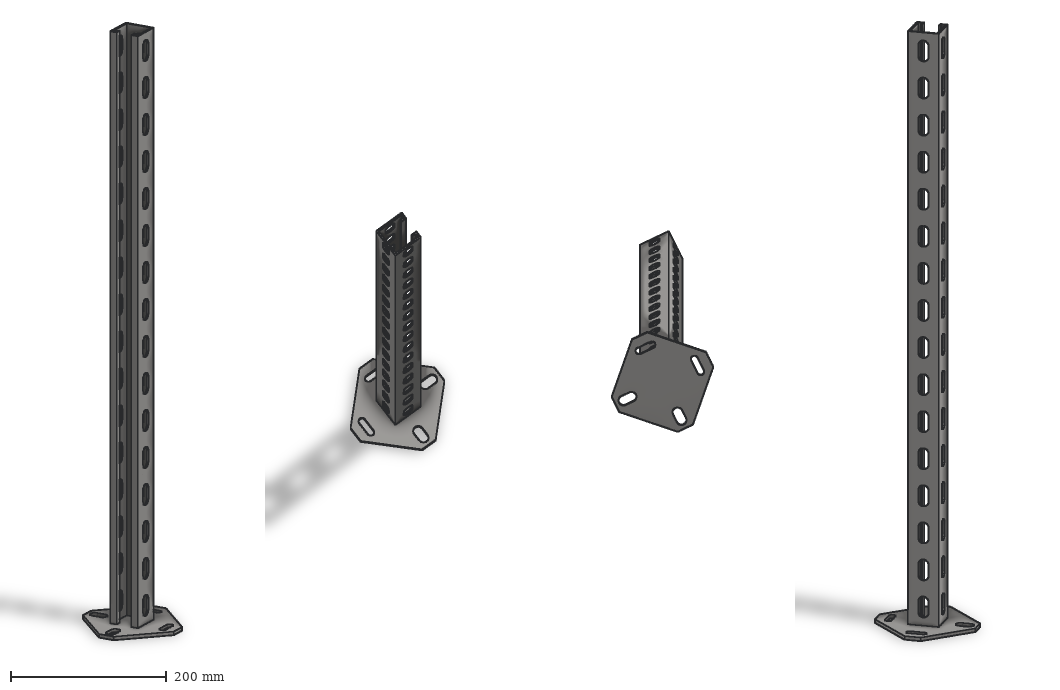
import cadquery as cq

TOTAL_HEIGHT = 805.0

PLATE_SPAN = 134.5
PLATE_FLAT = 22.0
PLATE_THICKNESS = 5.0

ANCHOR_RADIUS = 50.0
RADIAL_SLOT_LENGTH = 24.0
RADIAL_SLOT_WIDTH = 13.0
CROSS_SLOT_LENGTH = 27.0
CROSS_SLOT_WIDTH = 9.0

CHANNEL_SIZE = 41.0
WALL = 2.5
MOUTH_WIDTH = 22.0
LIP_DEPTH = 8.0
CHANNEL_Y = -2.0
CHANNEL_HEIGHT = TOTAL_HEIGHT - PLATE_THICKNESS

SLOT_COUNT = 16
SLOT_PITCH = CHANNEL_HEIGHT / SLOT_COUNT
SLOT_LENGTH = 28.0
BACK_SLOT_WIDTH = 14.0
SIDE_SLOT_WIDTH = 14.5


def anchor_slot(x, y, length, width, angle):
    """Cutter for one round-ended slot through the plate; angle 0 runs along X."""
    return (
        cq.Workplane("XY")
        .center(x, y)
        .slot2D(length, width, angle)
        .extrude(PLATE_THICKNESS)
    )


def make_base_plate():
    reach = PLATE_SPAN / 2
    flat = PLATE_FLAT / 2
    plate = (
        cq.Workplane("XY")
        .polyline([
            (reach, -flat), (reach, flat), (flat, reach), (-flat, reach),
            (-reach, flat), (-reach, -flat), (-flat, -reach), (flat, -reach),
        ])
        .close()
        .extrude(PLATE_THICKNESS)
    )
    plate = plate.cut(anchor_slot(-ANCHOR_RADIUS, 0, RADIAL_SLOT_LENGTH, RADIAL_SLOT_WIDTH, 0))
    plate = plate.cut(anchor_slot(0, -ANCHOR_RADIUS, RADIAL_SLOT_LENGTH, RADIAL_SLOT_WIDTH, 90))
    plate = plate.cut(anchor_slot(ANCHOR_RADIUS, 0, CROSS_SLOT_LENGTH, CROSS_SLOT_WIDTH, 90))
    plate = plate.cut(anchor_slot(0, ANCHOR_RADIUS, CROSS_SLOT_LENGTH, CROSS_SLOT_WIDTH, 0))
    return plate


def channel_blank():
    """C-section with its mouth toward -Y, standing on the plate."""
    outer = CHANNEL_SIZE / 2
    inner = outer - WALL
    mouth = MOUTH_WIDTH / 2
    lip_outer = mouth + WALL
    right_half = [
        (outer, outer), (outer, -outer), (mouth, -outer), (mouth, LIP_DEPTH - outer),
        (lip_outer, LIP_DEPTH - outer), (lip_outer, -inner), (inner, -inner), (inner, inner),
    ]
    left_half = [(-x, y) for x, y in reversed(right_half)]
    return (
        cq.Workplane("XY", origin=(0, 0, PLATE_THICKNESS))
        .polyline(right_half + left_half)
        .close()
        .extrude(CHANNEL_HEIGHT)
    )


def slot_row(plane, width, depth, both):
    """Cutters for the column of upright slots, pushed along the normal of the given plane."""
    centres = [(0, PLATE_THICKNESS + (i + 0.5) * SLOT_PITCH) for i in range(SLOT_COUNT)]
    return (
        cq.Workplane(plane)
        .pushPoints(centres)
        .slot2D(SLOT_LENGTH, width, 90)
        .extrude(depth, both=both)
    )


def make_channel():
    half = CHANNEL_SIZE / 2
    channel = channel_blank()
    channel = channel.cut(slot_row("YZ", SIDE_SLOT_WIDTH, half, True))
    channel = channel.cut(slot_row("XZ", BACK_SLOT_WIDTH, -half, False))
    return channel.translate((0, CHANNEL_Y, 0))


base_plate = make_base_plate()
channel = make_channel()

result = cq.Compound.makeCompound([base_plate.val(), channel.val()])